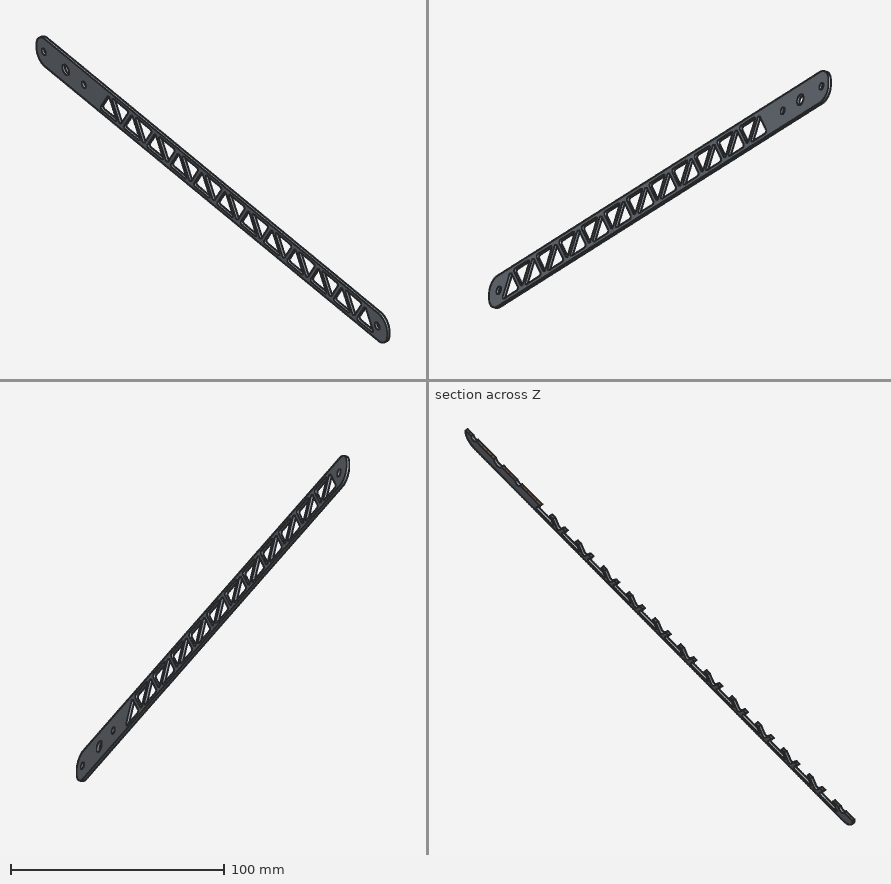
import cadquery as cq

LENGTH = 280.22
HEIGHT = 16.0
THICKNESS = 1.5
CORNER_RADIUS = 7.0

LEFT_HOLES = [(5.88, 3.3), (23.38, 5.3), (37.88, 3.3)]
RIGHT_HOLE_DIAMETER = 3.7
RIGHT_HOLE_INSET = 8.0

RAIL_WIDTH = 2.0
WINDOW_BASE = 14.0
WINDOW_HEIGHT = HEIGHT - 2 * RAIL_WIDTH
WINDOW_CORNER_RADIUS = 1.0
WINDOW_COUNT = 23
WINDOW_STEP = 9.315
FIRST_WINDOW_INSET = 57.65

LEFT_END = -LENGTH / 2
RIGHT_END = LENGTH / 2


def through_prism(outline):
    """Extrude an XZ outline to the bar thickness, symmetric about Y = 0."""
    return outline.extrude(THICKNESS / 2, both=True)


def make_bar():
    """Straight bar with rounded corners that leave a short flat at each end."""
    bar = through_prism(cq.Workplane("XZ").rect(LENGTH, HEIGHT))
    return bar.edges("|Y").fillet(CORNER_RADIUS)


def make_hole(x, diameter):
    """Round cutter on the bar's centre line."""
    return through_prism(cq.Workplane("XZ").center(x, 0).circle(diameter / 2))


def make_window(x, upright):
    """Triangular cutter with rounded corners, apex up when upright, else apex down."""
    apex_z = WINDOW_HEIGHT / 2 if upright else -WINDOW_HEIGHT / 2
    corners = [
        (x - WINDOW_BASE / 2, -apex_z),
        (x + WINDOW_BASE / 2, -apex_z),
        (x, apex_z),
    ]
    triangle = through_prism(cq.Workplane("XZ").polyline(corners).close())
    return triangle.edges("|Y").fillet(WINDOW_CORNER_RADIUS)


result = make_bar()

for inset, hole_diameter in LEFT_HOLES:
    result = result.cut(make_hole(LEFT_END + inset, hole_diameter))
result = result.cut(make_hole(RIGHT_END - RIGHT_HOLE_INSET, RIGHT_HOLE_DIAMETER))

for index in range(WINDOW_COUNT):
    window_x = LEFT_END + FIRST_WINDOW_INSET + index * WINDOW_STEP
    result = result.cut(make_window(window_x, upright=index % 2 == 0))